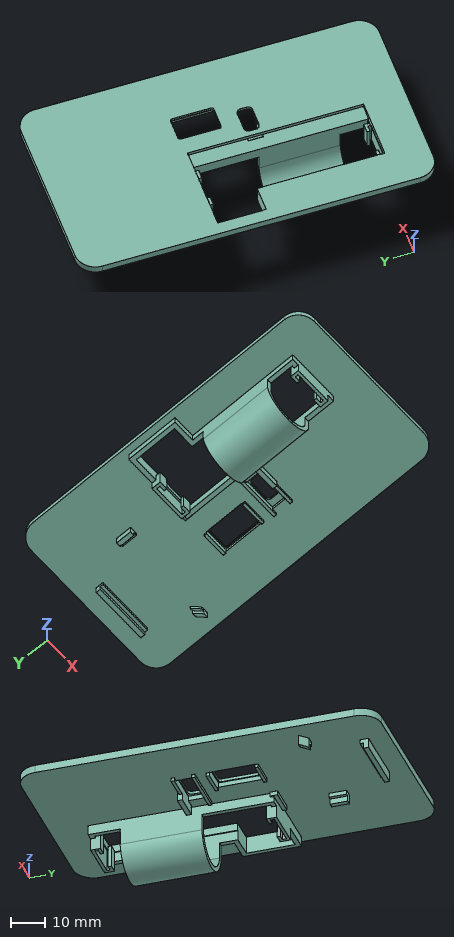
import cadquery as cq
import math

PLATE_WIDTH = 60.4
PLATE_LENGTH = 110.6
PLATE_THICKNESS = 2.5
PLATE_CORNER_RADIUS = 6.3
TOTAL_HEIGHT = 18.6

WALL = 1.5
WALL_DEPTH = 5.6
THIN_WALL = 1.0

WINDOW_LEFT = -26.3
WINDOW_RIGHT = 0.5
WINDOW_NORTH = 12.1
WINDOW_SOUTH = -42.3
STEP_X = -18.3
STEP_Y = -2.9
FRAME_LEFT = WINDOW_LEFT - WALL
FRAME_NORTH = WINDOW_NORTH + WALL
FRAME_SOUTH = -43.5
FRAME_STEP_Y = STEP_Y - WALL

CRADLE_X = -11.2
CRADLE_HALF_WIDTH = 9.0
CRADLE_ARC_RADIUS = 9.1
CRADLE_NORTH = -8.5
CRADLE_SOUTH = -33.6
FRAME_STEP_X = CRADLE_X - CRADLE_HALF_WIDTH
FRAME_RIGHT = CRADLE_X + CRADLE_HALF_WIDTH

SHELF_LEFT = FRAME_RIGHT - WALL
SHELF_HIGH_DEPTH = 1.1
SHELF_LOW_DEPTH = 1.8

CHANNEL_WIDTH = 13.1
CHANNEL_DEPTH = 9.5
NORTH_CHANNEL_REACH = 3.2
SOUTH_CHANNEL_REACH = 3.0
CHANNEL_LIP = 2.9

SKIN_THICKNESS = 1.05
RECESS_CLEARANCE = 0.3
RIM_DEPTH = 3.7

OPENING_X = 10.0
OPENING_Y = 6.2
OPENING_WIDTH = 7.7
OPENING_LENGTH = 13.3
OPENING_RADIUS = 0.7

SLOT_X = 6.5
SLOT_Y = -8.7
SLOT_WIDTH = 8.4
SLOT_LENGTH = 4.6
SLOT_RADIUS = 1.3
SLOT_RECESS_RIGHT = 13.0
SLOT_RIM_RIGHT = 14.7

PAD_LEFT = -0.2
LUG_LEFT = -1.2
LUG_RIGHT = 7.2

CLIP_LENGTH = 5.4
CLIP_LEDGE = 1.05
CLIP_LEDGE_DEPTH = 3.9
BOARD_X = 7.5
BOARD_Y = 31.4
NORTH_CLIP_LENGTH = 19.6
NORTH_CLIP_OUTER = 49.1
WEST_CLIP_OUTER = -10.2
FRAME_LEDGE_LEFT = -10.2
FRAME_LEDGE_RIGHT = -1.5
FRAME_LEDGE_REACH = 1.3
SLANTED_CLIP_OUTER = 25.3
SLANTED_CLIP_SPAN = 2.4


def block(x_range, y_range, top_depth, bottom_depth):
    """Box between two X values, two Y values and two depths below the top face."""
    (x0, x1), (y0, y1) = x_range, y_range
    size = (x1 - x0, y1 - y0, bottom_depth - top_depth)
    return cq.Workplane("XY").box(*size, centered=False).translate((x0, y0, -bottom_depth))


def rounded_block(center, width, length, radius, depth):
    """Vertical-edged rounded block from the top face down to the given depth."""
    base = cq.Workplane("XY", origin=(center[0], center[1], -depth))
    return base.rect(width, length).extrude(depth).edges("|Z").fillet(radius)


def l_prism(left, right, north, south, step_x, step_y, depth):
    """L-shaped prism whose lower left corner is missing."""
    points = [(left, north), (right, north), (right, south), (step_x, south), (step_x, step_y), (left, step_y)]
    return cq.Workplane("XY", origin=(0, 0, -depth)).polyline(points).close().extrude(depth)


def frame():
    outer = l_prism(FRAME_LEFT, FRAME_RIGHT, FRAME_NORTH, FRAME_SOUTH, FRAME_STEP_X, FRAME_STEP_Y, WALL_DEPTH)
    inner = l_prism(
        FRAME_LEFT + WALL, FRAME_RIGHT - WALL, FRAME_NORTH - WALL, FRAME_SOUTH + WALL,
        FRAME_STEP_X + WALL, FRAME_STEP_Y + WALL, WALL_DEPTH,
    )
    above = block((FRAME_LEFT, FRAME_RIGHT), (FRAME_SOUTH, FRAME_NORTH), 0, PLATE_THICKNESS)
    return outer.cut(inner).cut(above)


def cradle():
    axis_z = CRADLE_ARC_RADIUS - TOTAL_HEIGHT

    def trough(inset):
        half_width = CRADLE_HALF_WIDTH - inset
        radius = CRADLE_ARC_RADIUS - inset
        leg_end = axis_z - math.sqrt(radius**2 - half_width**2)
        return (
            cq.Workplane("XZ", origin=(CRADLE_X, CRADLE_NORTH, 0))
            .moveTo(-half_width, -PLATE_THICKNESS)
            .lineTo(-half_width, leg_end)
            .threePointArc((0, axis_z - radius), (half_width, leg_end))
            .lineTo(half_width, -PLATE_THICKNESS)
            .close()
            .extrude(CRADLE_NORTH - CRADLE_SOUTH)
        )

    return trough(0).cut(trough(WALL))


def shelf():
    profile = [
        (SHELF_LEFT, -PLATE_THICKNESS),
        (WINDOW_RIGHT, -PLATE_THICKNESS),
        (WINDOW_RIGHT, -SHELF_HIGH_DEPTH),
        (SHELF_LEFT, -SHELF_LOW_DEPTH),
    ]
    sloped = (
        cq.Workplane("XZ", origin=(0, WINDOW_NORTH, 0))
        .polyline(profile).close().extrude(WINDOW_NORTH - WINDOW_SOUTH)
    )
    pad_y = (SLOT_Y - SLOT_LENGTH / 2, SLOT_Y + SLOT_LENGTH / 2)
    pad = block((PAD_LEFT, WINDOW_RIGHT), pad_y, SHELF_HIGH_DEPTH, PLATE_THICKNESS)
    return sloped.union(pad)


def channel(outer_y, inward, reach):
    """C-shaped channel opening sideways; inward is the Y direction into the window."""
    def slab(x0, x1, near, far):
        y_range = sorted((outer_y + inward * near, outer_y + inward * far))
        return block((x0, x1), y_range, PLATE_THICKNESS, CHANNEL_DEPTH)

    left = CRADLE_X - CHANNEL_WIDTH / 2
    right = CRADLE_X + CHANNEL_WIDTH / 2
    body = slab(left, right, 0, reach)
    hollow = slab(left + THIN_WALL, right - THIN_WALL, THIN_WALL, reach - THIN_WALL)
    mouth = slab(left + CHANNEL_LIP, right - CHANNEL_LIP, THIN_WALL, reach)
    return body.cut(hollow).cut(mouth)


def channel_relief(outer_y, inward, reach):
    """Space cleared from the frame wall between the sides of a channel."""
    y_range = sorted((outer_y + inward * THIN_WALL, outer_y + inward * reach))
    half = CHANNEL_WIDTH / 2
    return block((CRADLE_X - half, CRADLE_X + half), y_range, PLATE_THICKNESS, WALL_DEPTH)


def rim(x_range, y_range):
    """Walls along the two Y sides of a recess."""
    sides = (y_range[0] - THIN_WALL, y_range[1] + THIN_WALL)
    return block(x_range, sides, PLATE_THICKNESS, RIM_DEPTH).cut(block(x_range, y_range, 0, RIM_DEPTH))


def clip(length, thickness, ledge):
    """Clip with its outer face on Y = 0 and its ledge pointing to -Y."""
    sides = (-length / 2, length / 2)
    post = block(sides, (-thickness, 0), PLATE_THICKNESS, WALL_DEPTH)
    return post.union(block(sides, (-thickness - ledge, 0), PLATE_THICKNESS, CLIP_LEDGE_DEPTH))


def slanted_clip():
    """Clip on the right of the board whose faces run at 45 degrees."""
    def slanted_block(thickness, bottom_depth):
        right = SLANTED_CLIP_OUTER
        south = BOARD_Y - SLANTED_CLIP_SPAN / 2
        north = BOARD_Y + SLANTED_CLIP_SPAN / 2
        shift = SLANTED_CLIP_SPAN
        points = [
            (right, south), (right - shift, north), (right - shift - thickness, north), (right - thickness, south)
        ]
        base = cq.Workplane("XY", origin=(0, 0, -bottom_depth))
        return base.polyline(points).close().extrude(bottom_depth - PLATE_THICKNESS)

    return slanted_block(WALL, WALL_DEPTH).union(slanted_block(WALL + CLIP_LEDGE, CLIP_LEDGE_DEPTH))


def board_clips():
    z_axis = ((0, 0, 0), (0, 0, 1))
    north = clip(NORTH_CLIP_LENGTH, WALL, CLIP_LEDGE).translate((BOARD_X, NORTH_CLIP_OUTER, 0))
    west = clip(CLIP_LENGTH, WALL, CLIP_LEDGE).rotate(*z_axis, 90).translate((WEST_CLIP_OUTER, BOARD_Y, 0))
    frame_ledge = block(
        (FRAME_LEDGE_LEFT, FRAME_LEDGE_RIGHT),
        (FRAME_NORTH - THIN_WALL, FRAME_NORTH + FRAME_LEDGE_REACH),
        PLATE_THICKNESS, CLIP_LEDGE_DEPTH,
    )
    return north.union(west).union(slanted_clip()).union(frame_ledge)


plate = rounded_block((0, 0), PLATE_WIDTH, PLATE_LENGTH, PLATE_CORNER_RADIUS, PLATE_THICKNESS)
window = l_prism(WINDOW_LEFT, WINDOW_RIGHT, WINDOW_NORTH, WINDOW_SOUTH, STEP_X, STEP_Y, PLATE_THICKNESS)

opening_recess_x = (
    OPENING_X - OPENING_WIDTH / 2 - RECESS_CLEARANCE, OPENING_X + OPENING_WIDTH / 2 + RECESS_CLEARANCE
)
opening_recess_y = (
    OPENING_Y - OPENING_LENGTH / 2 - RECESS_CLEARANCE, OPENING_Y + OPENING_LENGTH / 2 + RECESS_CLEARANCE
)
slot_recess_x = (WINDOW_RIGHT + THIN_WALL, SLOT_RECESS_RIGHT)
slot_recess_y = (SLOT_Y - SLOT_LENGTH / 2 - RECESS_CLEARANCE, SLOT_Y + SLOT_LENGTH / 2 + RECESS_CLEARANCE)
lug_y = (slot_recess_y[0] - WALL, slot_recess_y[0])

walls = frame()
channel_ends = ((FRAME_NORTH, -1, NORTH_CHANNEL_REACH), (FRAME_SOUTH, 1, SOUTH_CHANNEL_REACH))
for end in channel_ends:
    walls = walls.cut(channel_relief(*end)).union(channel(*end))

result = plate.cut(window).union(shelf()).union(walls).union(cradle())
result = result.union(board_clips())
result = result.union(rim(opening_recess_x, opening_recess_y))
result = result.union(rim((LUG_LEFT, SLOT_RIM_RIGHT), slot_recess_y))
result = result.union(block((LUG_LEFT, LUG_RIGHT), lug_y, PLATE_THICKNESS, WALL_DEPTH))

opening = rounded_block((OPENING_X, OPENING_Y), OPENING_WIDTH, OPENING_LENGTH, OPENING_RADIUS, RIM_DEPTH)
slot = rounded_block((SLOT_X, SLOT_Y), SLOT_WIDTH, SLOT_LENGTH, SLOT_RADIUS, RIM_DEPTH)
opening_recess = block(opening_recess_x, opening_recess_y, SKIN_THICKNESS, RIM_DEPTH)
slot_recess = block(slot_recess_x, slot_recess_y, SKIN_THICKNESS, RIM_DEPTH)
result = result.cut(opening).cut(slot).cut(opening_recess).cut(slot_recess)